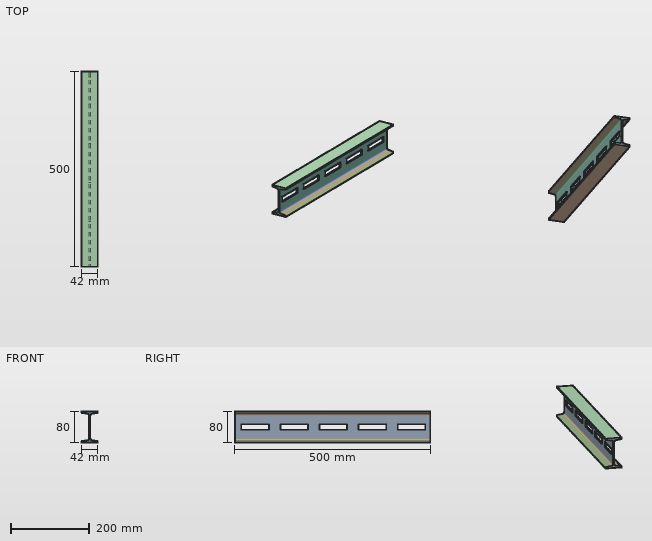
import cadquery as cq
import math

LENGTH = 500.0
HEIGHT = 80.0
FLANGE_WIDTH = 42.0
WEB_THICKNESS = 3.9
FLANGE_THICKNESS = 5.74
FLANGE_SLOPE = 0.14
ROOT_RADIUS = 3.9
TOE_RADIUS = 2.3

SLOT_COUNT = 5
SLOT_PITCH = 100.0
SLOT_LENGTH = 70.0
SLOT_HEIGHT = 14.0
SLOT_ROW_SHIFT = 1.5

EDGE_TOLERANCE = 1e-4


def inner_face_height(x):
    """Height of the upper flange's sloped inner face at distance x from the web centre."""
    return HEIGHT / 2 - FLANGE_THICKNESS + FLANGE_SLOPE * (x - FLANGE_WIDTH / 4)


def make_beam():
    """Extrude the I-shaped section, then round its flange roots and toes."""
    tip_x = FLANGE_WIDTH / 2
    web_x = WEB_THICKNESS / 2
    tip_z = inner_face_height(tip_x)
    root_z = inner_face_height(web_x)
    upper_right = [(tip_x, HEIGHT / 2), (tip_x, tip_z), (web_x, root_z)]
    lower_right = [(x, -z) for x, z in reversed(upper_right)]
    right_side = upper_right + lower_right
    left_side = [(-x, z) for x, z in reversed(right_side)]
    beam = (
        cq.Workplane("XZ")
        .polyline(right_side + left_side)
        .close()
        .extrude(LENGTH / 2, both=True)
    )
    beam = round_edges(beam, web_x, root_z, ROOT_RADIUS)
    return round_edges(beam, tip_x, tip_z, TOE_RADIUS)


def round_edges(beam, x, z, radius):
    """Fillet the four lengthwise edges at (+-x, +-z)."""
    edges = beam.edges("|Y").filter(
        lambda edge: math.isclose(abs(edge.Center().x), x, abs_tol=EDGE_TOLERANCE)
        and math.isclose(abs(edge.Center().z), z, abs_tol=EDGE_TOLERANCE)
    )
    return edges.fillet(radius)


def make_slots():
    """Row of slot cutters at mid-height of the web."""
    return (
        cq.Workplane("XY", origin=(0, SLOT_ROW_SHIFT, 0))
        .rarray(1, SLOT_PITCH, 1, SLOT_COUNT)
        .box(FLANGE_WIDTH, SLOT_LENGTH, SLOT_HEIGHT)
    )


result = make_beam().cut(make_slots())